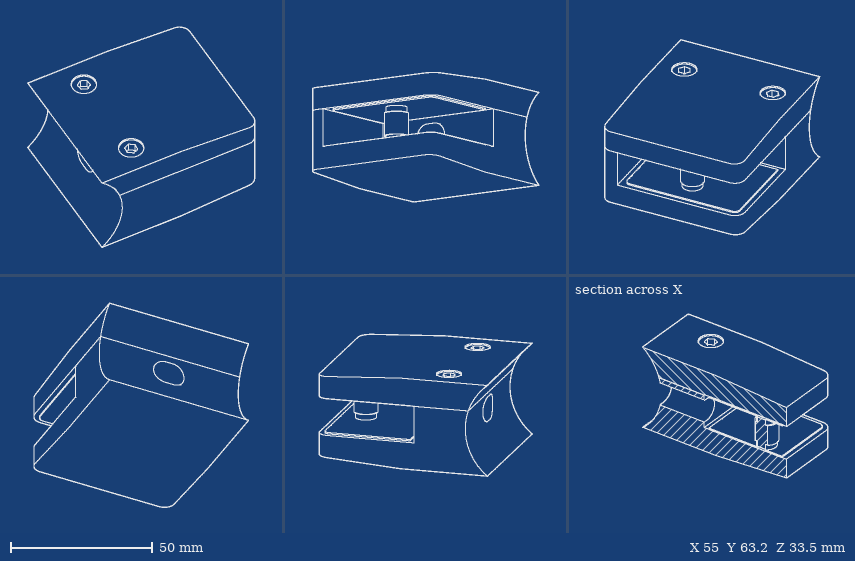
import cadquery as cq
import math


width = 55.0
height = 33.5
post_radius = 21.2
depth_from_post = 55.0
nose_y = post_radius + depth_from_post
half_height = height / 2

gap = 13.5
gap_length = 36.0
end_wall = 6.5
half_gap = gap / 2
gap_width = width - end_wall
gap_centre_x = -end_wall / 2
gap_back_y = nose_y - gap_length

taper_length = 31.0
taper_drop = 2.0
corner_radius = 4.0

slot_width = 12.0
slot_height = 9.0

pad_thickness = 0.5
pad_margin = 2.0
pad_length = gap_length - 2 * pad_margin
pad_width = gap_width - 2 * pad_margin
pad_corner_radius = corner_radius - pad_margin

pin_x = gap_centre_x
pin_setback = 11.0
pin_y = nose_y - pin_setback
pin_neck_diameter = 7.5
pin_collar_diameter = 8.6
pin_collar_height = 8.2
pin_height = gap - 2 * pad_thickness

screw_spacing = 35.0
screw_offset = 9.0
screw_y = post_radius + screw_offset
head_diameter = 9.0
head_height = 5.0
head_fillet = 0.6
head_recess = 0.3
hex_across_flats = 4.0
hex_depth = 3.0
hex_turn = 5.0
shank_diameter = 5.0
shank_length = 15.0
head_top_z = half_height - head_recess
head_seat_z = head_top_z - head_height
screw_positions = [(side * screw_spacing / 2, side) for side in (-1, 1)]


def clamp_block():
    """Full outer shape of the clamp: tapered, rounded at the nose, hollowed for the post."""
    tip_y = math.sqrt(post_radius**2 - half_height**2)
    nose_half_height = half_height - taper_drop
    taper_y = nose_y - taper_length
    block = (
        cq.Workplane("YZ")
        .moveTo(tip_y, half_height)
        .lineTo(taper_y, half_height)
        .lineTo(nose_y, nose_half_height)
        .lineTo(nose_y, -nose_half_height)
        .lineTo(taper_y, -half_height)
        .lineTo(tip_y, -half_height)
        .threePointArc((post_radius, 0), (tip_y, half_height))
        .close()
        .extrude(width / 2, both=True)
    )
    return block.edges("|Z and >Y").fillet(corner_radius)


def cover_space():
    """Everything above the joint between base and cover."""
    return (
        cq.Workplane("XY", origin=(0, nose_y / 2, half_gap))
        .rect(width, nose_y)
        .extrude(half_height - half_gap)
    )


def glass_gap():
    """Space for the glass, open at the nose and at the -X end."""
    return (
        cq.Workplane("XY", origin=(gap_centre_x, nose_y - gap_length / 2, -half_gap))
        .rect(gap_width, gap_length)
        .extrude(gap)
    )


def cylinder(x, y, z_start, diameter, length):
    """Upright cylinder standing on z_start."""
    return cq.Workplane("XY", origin=(x, y, z_start)).circle(diameter / 2).extrude(length)


def screw_shank(x):
    """Plain shank below the screw head; it also cuts the matching hole."""
    return cylinder(x, screw_y, head_seat_z - shank_length, shank_diameter, shank_length)


def make_base():
    """Lower jaw, end wall and the block behind the gap, with the fixing slot and screw holes."""
    base = clamp_block().cut(cover_space()).cut(glass_gap())
    slot = (
        cq.Workplane("XZ")
        .slot2D(slot_width, slot_height)
        .extrude(-gap_back_y)
    )
    base = base.cut(slot)
    for x, _ in screw_positions:
        base = base.cut(screw_shank(x))
    return base


def make_cover():
    """Upper jaw with counterbored screw holes."""
    cover = clamp_block().intersect(cover_space())
    for x, _ in screw_positions:
        cover = cover.cut(cylinder(x, screw_y, head_seat_z, head_diameter, height))
        cover = cover.cut(screw_shank(x))
    return cover


def make_pad(z_start):
    """Rubber pad with rounded corners at the nose end."""
    pad_centre_y = nose_y - pad_margin - pad_length / 2
    return (
        cq.Workplane("XY", origin=(gap_centre_x, pad_centre_y, z_start))
        .rect(pad_width, pad_length)
        .extrude(pad_thickness)
        .edges("|Z and >Y")
        .fillet(pad_corner_radius)
    )


def make_pin():
    """Safety pin with a wider collar at mid height."""
    neck = cylinder(pin_x, pin_y, -pin_height / 2, pin_neck_diameter, pin_height)
    collar = cylinder(pin_x, pin_y, -pin_collar_height / 2, pin_collar_diameter, pin_collar_height)
    return neck.union(collar)


def make_screw(x, side):
    """Socket head screw; the hex sockets are turned opposite ways on the two sides."""
    head = cylinder(x, screw_y, head_seat_z, head_diameter, head_height)
    head = head.faces(">Z").edges().fillet(head_fillet)
    hex_socket = (
        cq.Workplane("XY", origin=(x, screw_y, head_top_z))
        .transformed(rotate=(0, 0, -side * hex_turn))
        .polygon(6, hex_across_flats / math.cos(math.pi / 6))
        .extrude(-hex_depth)
    )
    return head.union(screw_shank(x)).cut(hex_socket)


base = make_base()
cover = make_cover()
pads = [make_pad(z_start) for z_start in (-half_gap, half_gap - pad_thickness)]
pin = make_pin()
screws = [make_screw(x, side) for x, side in screw_positions]

result = cq.Compound.makeCompound(
    [base.val(), cover.val(), pin.val()]
    + [pad.val() for pad in pads]
    + [screw.val() for screw in screws]
)